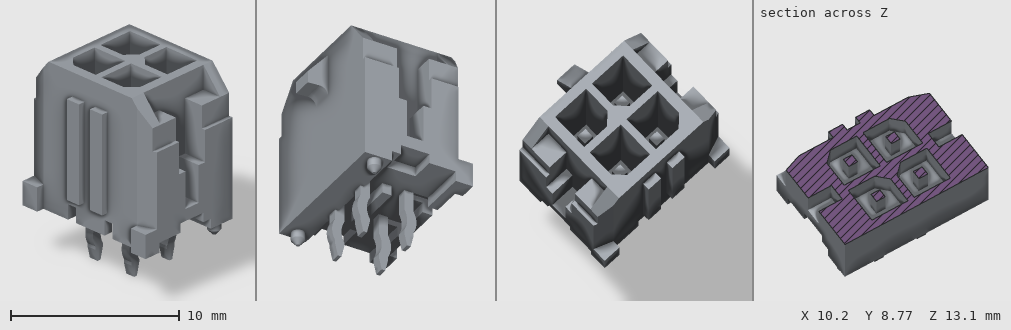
import cadquery as cq


width = 10.15
depth = 6.86
height = 9.91
half_width = width / 2
half_depth = depth / 2

upper_half_width = 4.8
crown_half_width = 3.43
step_height = 6.73
shoulder_height = 8.26
front_face_half_width = 3.86
corner_cut_depth = 0.46

shelf_front = -2.43
shelf_back = 2.66
channel_width = 2.2
channel_floor = 4.6
channel_slot_width = 1.13
channel_slot_floor = 2.1
window_width = 1.94
window_top = 1.3

recess_height = 0.67
recess_front = -2.78
recess_back = 1.6

foot_front = -3.95
foot_height = 1.61
rib_front = -3.91
rib_width = 1.01
rib_center = 0.95
rib_top = 8.3

pitch = 3.0
row_center = 0.04
cavity_size = 2.53
cavity_corner_cut = 0.68
cavity_floor = channel_slot_floor
contact_size = 0.64
contact_top = 5.89
contact_notch_top = 1.02
bulge_start = -0.67
bulge_end = -2.15
bulge_offset = 0.2
taper_start = -2.37
contact_tip = -3.18
contact_tip_width = 0.25

latch_width = 1.41
latch_reach = 4.82
latch_root_top = 9.35
latch_tip_top = 7.76
latch_tip_bottom = 6.96
latch_underside = 7.02
latch_fillet = 0.56

peg_diameter = 0.86
peg_tip_diameter = 0.24
peg_x = 4.5
peg_y = 2.46
peg_straight_length = 0.48
peg_length = 0.85

SIDES = (-1, 1)
column_x = [side * pitch / 2 for side in SIDES]
bar_half_width = (pitch + contact_size) / 2


def block(x_range, y_range, z_range):
    """Box given by its limits along each axis."""
    (x0, x1), (y0, y1), (z0, z1) = x_range, y_range, z_range
    return cq.Workplane("XY").box(x1 - x0, y1 - y0, z1 - z0, centered=False).translate((x0, y0, z0))


def side_block(side, inner, outer, y_range, z_range):
    """Box between two distances from the mid-plane, on one side of the housing."""
    return block(sorted((side * inner, side * outer)), y_range, z_range)


def row_y(row):
    return row_center + row * pitch / 2


def housing_shell():
    """Stepped and sloped front outline, with the two front vertical corners cut off."""
    right_edge = [
        (half_width, 0),
        (half_width, step_height),
        (upper_half_width, step_height),
        (upper_half_width, shoulder_height),
        (crown_half_width, height),
    ]
    left_edge = [(-x, z) for x, z in reversed(right_edge)]
    outline = cq.Workplane("XZ").polyline(right_edge + left_edge).close()
    shell = outline.extrude(half_depth, both=True)

    footprint = (
        cq.Workplane("XY")
        .polyline([
            (-front_face_half_width, -half_depth),
            (front_face_half_width, -half_depth),
            (half_width, -half_depth + corner_cut_depth),
            (half_width, half_depth),
            (-half_width, half_depth),
            (-half_width, -half_depth + corner_cut_depth),
        ])
        .close()
        .extrude(height)
    )
    return shell.intersect(footprint)


def foot(side):
    return side_block(side, front_face_half_width, half_width, (foot_front, recess_front), (0, foot_height))


def rib(side):
    inner = rib_center - rib_width / 2
    return side_block(side, inner, inner + rib_width, (rib_front, -half_depth), (foot_height, rib_top))


def side_cuts(side):
    """Shelf, two-width vertical channel and bottom window in one side wall."""
    cuts = side_block(side, crown_half_width, half_width, (shelf_front, shelf_back), (shoulder_height, height))
    for opening, z_range in (
        (channel_width, (channel_floor, height)),
        (channel_slot_width, (channel_slot_floor, height)),
        (window_width, (0, window_top)),
    ):
        y_range = (-opening / 2, opening / 2)
        cuts = cuts.union(side_block(side, crown_half_width, half_width, y_range, z_range))
    return cuts


def underside_recess():
    """Recess open to both sides, with a bar between the contact rows."""
    recess = block((-half_width, half_width), (recess_front, recess_back), (0, recess_height))
    bar_y = (row_center - contact_size / 2, row_center + contact_size / 2)
    bar = block((-bar_half_width, bar_half_width), bar_y, (0, recess_height))
    return recess.cut(bar)


def contact_notch(x):
    """Groove from the front face back to the front contact of one column."""
    notch_x = (x - contact_size / 2, x + contact_size / 2)
    return block(notch_x, (-half_depth, row_y(-1)), (0, contact_notch_top))


def cavity(x, row):
    """Square cavity keyed at one front corner: inner corner in the back row, outer in the front row."""
    column_side = 1 if x > 0 else -1
    keyed_side = -row * column_side
    half = cavity_size / 2
    outline = [
        (-keyed_side * half, half),
        (-keyed_side * half, -half),
        (keyed_side * (half - cavity_corner_cut), -half),
        (keyed_side * half, -half + cavity_corner_cut),
        (keyed_side * half, half),
    ]
    return (
        cq.Workplane("XY", origin=(x, row_y(row), cavity_floor))
        .polyline(outline)
        .close()
        .extrude(height - cavity_floor)
    )


def contact(x, row):
    """Pin and solder tail in one strip; the tail bulges away from the other row."""
    half = contact_size / 2
    half_tip = contact_tip_width / 2
    bulge = row * bulge_offset
    bulge_middle = (bulge_start + bulge_end) / 2
    return (
        cq.Workplane("YZ", origin=(x, row_y(row), 0))
        .moveTo(-half, contact_top)
        .lineTo(-half, bulge_start)
        .threePointArc((bulge - half, bulge_middle), (-half, bulge_end))
        .lineTo(-half, taper_start)
        .lineTo(-half_tip, contact_tip)
        .lineTo(half_tip, contact_tip)
        .lineTo(half, taper_start)
        .lineTo(half, bulge_end)
        .threePointArc((bulge + half, bulge_middle), (half, bulge_start))
        .lineTo(half, contact_top)
        .close()
        .extrude(half, both=True)
    )


def latch():
    """Ramp with a quarter-round relief under its hook."""
    return (
        cq.Workplane("YZ")
        .moveTo(half_depth, latch_root_top)
        .lineTo(latch_reach, latch_tip_top)
        .lineTo(latch_reach, latch_tip_bottom)
        .lineTo(half_depth + latch_fillet, latch_underside)
        .radiusArc((half_depth, latch_underside - latch_fillet), -latch_fillet)
        .close()
        .extrude(latch_width / 2, both=True)
    )


def peg(side):
    """Round locating peg with a conical tip."""
    return (
        cq.Workplane("XZ", origin=(side * peg_x, peg_y, 0))
        .polyline([
            (0, 0),
            (peg_diameter / 2, 0),
            (peg_diameter / 2, -peg_straight_length),
            (peg_tip_diameter / 2, -peg_length),
            (0, -peg_length),
        ])
        .close()
        .revolve(360, (0, 0, 0), (0, 1, 0))
    )


result = housing_shell().union(latch())
for side in SIDES:
    result = result.cut(side_cuts(side))
result = result.cut(underside_recess())
for side in SIDES:
    result = result.union(foot(side)).union(rib(side)).union(peg(side))
for x in column_x:
    result = result.cut(contact_notch(x))
    for row in SIDES:
        result = result.cut(cavity(x, row)).union(contact(x, row))